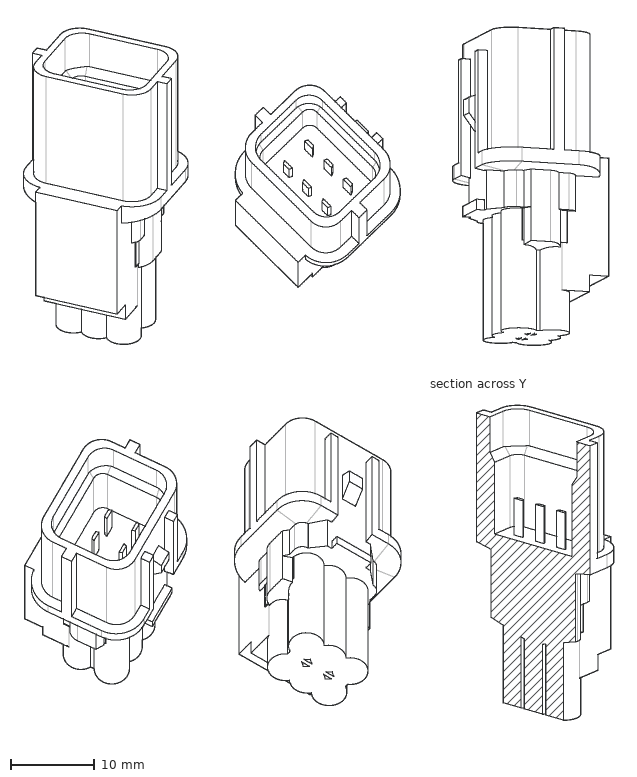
import cadquery as cq


total_height = 36.2
shroud_half_x = 7.6
shroud_half_y = 6.2
shroud_radius = 2.55

flange_width = 17.7
flange_half_x = flange_width / 2
flange_border = flange_half_x - shroud_half_x
flange_half_y = 7.4
flange_radius = shroud_radius + flange_border
flange_top = 21.35
flange_edge_thickness = 1.7
flange_edge_bottom = flange_top - flange_edge_thickness
underside_drop = 0.72
underside_slope = 0.2

mouth_half_x = 6.7
mouth_half_y = 5.18
mouth_radius = 2.25
ledge_top = 31.65
ledge_radius = 1.92
cavity_half_x = 5.97
cavity_half_y = 4.55
cavity_radius = 1.23
ledge_bottom = 30.55
pocket_floor = flange_top

column_pitch = 3.3
columns = [-column_pitch, 0, column_pitch]
contact_row_y = 1.9
contact_wide = 1.35
contact_narrow = 0.98
contact_thickness = 0.4
contact_top = 26.05
wire_diameter = 4.27
wire_row_y = 2.1
web_half_x = 4.35
web_thickness = 0.47

side_rib_y = -1.12
side_rib_width = 1.38
notch_half_x = 2.57
rail_width = 1.05
rail_top = 33.92
catch_width = 2.0
catch_tip_y = 7.6
catch_ramp_rise = 0.5
catch_tip_top = 28.6
catch_tip_bottom = 26.68
catch_bottom = 24.8

collar_half_x = 6.05
collar_half_y = 4.52
collar_radius = 1.2
collar_bottom = 14.62
core_half_x = 5.45
core_back = 2.4
core_front = -3.33
core_bottom = 10.7

seat_half_x = 3.22
nib_tip_y = 7.2
nib_height = 1.25

lug_half_x = 6.6
lug_back = 1.65
lug_flat_front = -0.8
lug_radius = 1.77
lug_back_root = 2.17
lug_bottom = 10.5
lug_bottom_slope = 0.3

block_half_x = 5.35
block_front = -8.6
block_bottom = 6.95
block_step_y = -6.2
block_back = -2.57
block_step_bottom = 4.92


def box(x_min, x_max, y_min, y_max, z_min, z_max):
    """Axis-aligned box given by its limits."""
    return cq.Workplane("XY").box(
        x_max - x_min, y_max - y_min, z_max - z_min, centered=False
    ).translate((x_min, y_min, z_min))


def rounded_block(half_x, y_min, y_max, radius, z_min, z_max):
    """Upright block with four rounded corners."""
    return box(-half_x, half_x, y_min, y_max, z_min, z_max).edges("|Z").fillet(radius)


def rounded_loft(lower, upper, z_min, z_max):
    """Straight-sided loft between two rounded rectangles (half_x, y_min, y_max, radius)."""
    outlines = []
    for (half_x, y_min, y_max, radius), z in ((lower, z_min), (upper, z_max)):
        block = rounded_block(half_x, y_min, y_max, radius, z, z + 0.35)
        outlines.append(block.faces("<Z").val().outerWire())
    return cq.Workplane(cq.Solid.makeLoft(outlines, True))


def with_mirror(shape):
    """The shape together with its mirror image across X = 0."""
    return shape.union(shape.mirror("YZ"))


def make_flange():
    plate = rounded_block(
        flange_half_x, -flange_half_y, flange_half_y, flange_radius, flange_edge_bottom, flange_top
    )
    inset = underside_drop / underside_slope
    open_front = -2 * flange_half_y
    lower = (flange_half_x - inset, open_front, flange_half_y - inset, flange_radius - inset)
    upper = (flange_half_x, open_front, flange_half_y, flange_radius)
    bottom = flange_edge_bottom - underside_drop
    trim = rounded_block(
        flange_half_x, -flange_half_y, flange_half_y, flange_radius, bottom, flange_top
    )
    underside = rounded_loft(lower, upper, bottom, flange_edge_bottom).intersect(trim)
    notch = box(
        -notch_half_x, notch_half_x, shroud_half_y, flange_half_y, bottom, flange_top
    )
    return plate.union(underside).cut(notch)


def make_pocket():
    mouth = (mouth_half_x, -mouth_half_y, mouth_half_y, mouth_radius)
    ledge = (mouth_half_x, -mouth_half_y, mouth_half_y, ledge_radius)
    cavity = (cavity_half_x, -cavity_half_y, cavity_half_y, cavity_radius)
    mouth_walls = rounded_block(*mouth, ledge_bottom, total_height)
    slope = rounded_loft(cavity, ledge, ledge_bottom, ledge_top).intersect(mouth_walls)
    return (
        rounded_block(*mouth, ledge_top, total_height)
        .union(slope)
        .union(rounded_block(*cavity, pocket_floor, ledge_bottom))
    )


def make_contact(x, side):
    """Flat contact with its narrow face away from the X axis."""
    inner = side * (contact_row_y - contact_thickness / 2)
    outer = side * (contact_row_y + contact_thickness / 2)
    return (
        cq.Workplane("XY", origin=(0, 0, pocket_floor))
        .moveTo(x - contact_wide / 2, inner)
        .lineTo(x + contact_wide / 2, inner)
        .lineTo(x + contact_narrow / 2, outer)
        .lineTo(x - contact_narrow / 2, outer)
        .close()
        .extrude(contact_top - pocket_floor)
    )


def make_wire(x, side):
    return (
        cq.Workplane("XY")
        .center(x, side * wire_row_y)
        .circle(wire_diameter / 2)
        .extrude(collar_bottom)
    )


def make_catch():
    """Central catch on the back wall, ramped above and below its tip."""
    return (
        cq.Workplane("YZ", origin=(-catch_width / 2, 0, 0))
        .moveTo(shroud_half_y, catch_bottom)
        .lineTo(catch_tip_y, catch_tip_bottom)
        .lineTo(catch_tip_y, catch_tip_top)
        .lineTo(shroud_half_y, catch_tip_top + catch_ramp_rise)
        .close()
        .extrude(catch_width)
    )


def make_latch_seat():
    """Seat behind the collar with 45 degree sides, and the nib at its lower edge."""
    depth = shroud_half_y - collar_half_y
    root_half_x = seat_half_x + depth
    seat = (
        cq.Workplane("XY", origin=(0, 0, collar_bottom))
        .polyline([
            (-root_half_x, collar_half_y),
            (root_half_x, collar_half_y),
            (seat_half_x, shroud_half_y),
            (-seat_half_x, shroud_half_y),
        ])
        .close()
        .extrude(flange_top - collar_bottom)
    )
    nib = box(
        -notch_half_x, notch_half_x, shroud_half_y, nib_tip_y, collar_bottom, collar_bottom + nib_height
    )
    return seat.union(nib)


def make_lug():
    """Lug on the +X side with a rounded front, a slanted back and a sloping bottom."""
    arc_center_x = lug_half_x - lug_radius
    deepest = lug_bottom - lug_bottom_slope * lug_half_x
    prism = (
        cq.Workplane("XY", origin=(0, 0, deepest))
        .moveTo(0, lug_back_root)
        .lineTo(core_half_x, lug_back_root)
        .lineTo(lug_half_x, lug_back)
        .lineTo(lug_half_x, lug_flat_front)
        .radiusArc((arc_center_x, lug_flat_front - lug_radius), lug_radius)
        .lineTo(0, lug_flat_front - lug_radius)
        .close()
        .extrude(flange_edge_bottom - deepest)
    )
    side_profile = (
        cq.Workplane("XZ", origin=(0, lug_back_root, 0))
        .moveTo(0, deepest)
        .lineTo(lug_half_x, lug_bottom)
        .lineTo(lug_half_x, flange_edge_bottom)
        .lineTo(0, flange_edge_bottom)
        .close()
        .extrude(lug_back_root - lug_flat_front + lug_radius)
    )
    gusset = (
        cq.Workplane("XY", origin=(0, 0, collar_bottom))
        .polyline([(lug_half_x, lug_back), (collar_half_x, core_back), (core_half_x, lug_back)])
        .close()
        .extrude(flange_edge_bottom - collar_bottom)
    )
    return prism.intersect(side_profile).union(gusset)


def make_front_block():
    upper = box(-block_half_x, block_half_x, block_front, block_back, block_bottom, flange_top)
    lower = box(-block_half_x, block_half_x, block_step_y, block_back, block_step_bottom, block_bottom)
    return upper.union(lower)


result = rounded_block(
    shroud_half_x, -shroud_half_y, shroud_half_y, shroud_radius, flange_top, total_height
)
result = result.union(make_flange())

side_ribs = box(
    -flange_half_x, flange_half_x,
    side_rib_y - side_rib_width / 2, side_rib_y + side_rib_width / 2,
    flange_edge_bottom, total_height,
)
rail = box(
    notch_half_x, notch_half_x + rail_width, shroud_half_y, flange_half_y, flange_edge_bottom, rail_top
)
result = result.union(side_ribs).union(with_mirror(rail)).union(make_catch())

collar = rounded_block(
    collar_half_x, -collar_half_y, collar_half_y, collar_radius, collar_bottom, flange_top
)
core = box(-core_half_x, core_half_x, core_front, core_back, core_bottom, flange_top)
web = box(-web_half_x, web_half_x, -web_thickness / 2, web_thickness / 2, 0, collar_bottom)
result = result.union(collar).union(core).union(web)
result = result.union(make_latch_seat()).union(with_mirror(make_lug())).union(make_front_block())

result = result.cut(make_pocket())
for column_x in columns:
    for row_side in (-1, 1):
        result = result.union(make_wire(column_x, row_side))
        result = result.union(make_contact(column_x, row_side))